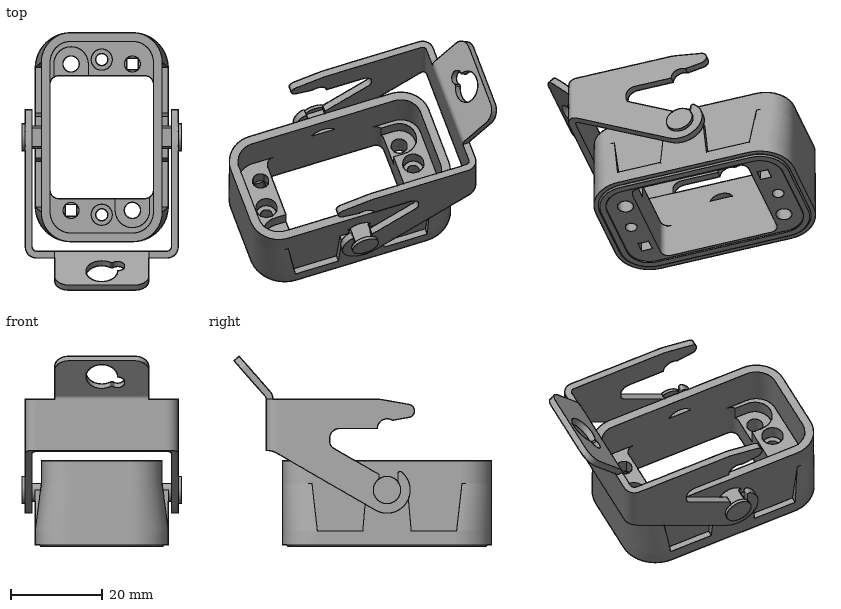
import cadquery as cq
import math

gasket_height = 0.4
gasket_inset = 0.95
gasket_chamfer = 0.35
gasket_width = 1.7

housing_length = 45.9
base_width = 29.2
upper_width = 26.5
end_flat_half = 6.7
base_top = 3.45
taper_top = 13.85
housing_top = 18.85
wall = 1.9
floor_top = 9.3
side_flat_base = 15.25
side_flat_top = 16.45

opening_length = 26.9
opening_corner = 1.85
corner_hole_x = 6.7
corner_hole_y = 16.05
corner_hole_radius = 1.75
corner_pocket_radius = 3.8
corner_pocket_depth = 3.4
square_hole_side = 2.5
square_counterbore_depth = 3.4
middle_hole_y = 17.0
middle_hole_radius = 1.3
middle_counterbore_radius = 2.3
middle_counterbore_depth = 3.4

pivot_z = 12.45
boss_base_half = 5.3
boss_top_half = 4.5
pin_radius = 2.5
pin_flat_height = 1.45
head_radius = 3.0
head_span = 35.0

sheet = 1.5
clip_half_width = 16.8
clip_back_y = -26.5
clip_top = 32.4
clip_bend_radius = 2.5
arm_angle = 30.0
hook_radius = 5.1
arm_upper_offset = 2.1
mouth_front_y = 2.45
mouth_back_y = -1.75
hook_tip_round = 0.45
throat_back_y = -12.55
throat_top = 25.9
throat_upper_round = 2.1
throat_lower_round = 1.7
notch_y = 0.05
notch_radius = 2.15
jaw_angle = 10.0
jaw_tip_y = 4.6
jaw_tip_z = 29.8
jaw_tip_radius = 1.45
jaw_top_round = 9.6

tab_half_width = 10.35
tab_angle = 41.3
tab_bend_inner = 0.95
tab_length = 10.35
tab_corner = 3.05
key_along = 5.7
key_radius = 3.45
key_small_x = 3.5
key_small_along = -1.7
key_small_radius = 1.5
key_neck_half = 1.15

base_half = base_width / 2
upper_half = upper_width / 2
base_corner = base_half - end_flat_half
upper_corner = upper_half - end_flat_half
cavity_width = upper_width - 2 * wall
cavity_length = housing_length - 2 * wall
cavity_corner = upper_corner - wall
head_outer_x = head_span / 2
clip_inner_x = clip_half_width - sheet
tab_lean = math.radians(tab_angle)


def rounded_plate(width, length, corner, bottom, top):
    plate = cq.Workplane("XY").workplane(offset=bottom).rect(width, length).extrude(top - bottom)
    return plate.edges("|Z").fillet(corner)


def round_corner(solid, y, z, radius):
    edge = cq.selectors.NearestToPointSelector((0, y, z))
    return solid.edges("|X").edges(edge).fillet(radius)


def x_prism(points, half_width):
    return cq.Workplane("YZ").polyline(points).close().extrude(half_width, both=True)


def x_cylinder(radius, start, end):
    plane = cq.Workplane("YZ", origin=(start, 0, pivot_z))
    return plane.circle(radius).extrude(end - start)


def rounded_section(width, corner, z):
    outline = cq.Sketch().rect(width, housing_length).vertices().fillet(corner)
    return outline.moved(cq.Location(cq.Vector(0, 0, z)))


def housing_shell():
    base = rounded_plate(base_width, housing_length, base_corner, gasket_height, base_top)
    taper = (
        cq.Workplane("XY")
        .placeSketch(
            rounded_section(base_width, base_corner, base_top),
            rounded_section(upper_width, upper_corner, taper_top),
        )
        .loft(ruled=True)
    )
    rim = rounded_plate(upper_width, housing_length, upper_corner, taper_top, housing_top)
    recess_outline = [
        (-side_flat_base, base_top),
        (side_flat_base, base_top),
        (side_flat_top, taper_top),
        (-side_flat_top, taper_top),
    ]
    recesses = x_prism(recess_outline, base_half).cut(
        cq.Workplane("XY").box(upper_width, housing_length, 2 * housing_top)
    )
    cavity = rounded_plate(cavity_width, cavity_length, cavity_corner, floor_top, housing_top)
    opening = rounded_plate(cavity_width, opening_length, opening_corner, 0, housing_top)
    return base.union(taper).union(rim).cut(recesses).cut(cavity).cut(opening)


def vertical_cylinder(x, y, radius, bottom, top):
    plane = cq.Workplane("XY", origin=(x, y, bottom))
    return plane.circle(radius).extrude(top - bottom)


def floor_cuts():
    """Holes at the +Y end of the floor; the other end repeats them turned by 180 degrees."""
    pocket_bottom = floor_top - corner_pocket_depth
    pocket_centre = (-corner_hole_x, corner_hole_y)
    pocket = vertical_cylinder(*pocket_centre, corner_pocket_radius, pocket_bottom, floor_top)
    pocket_mouth = (
        cq.Workplane("XY", origin=(-corner_hole_x, corner_hole_y / 2, pocket_bottom))
        .rect(2 * corner_pocket_radius, corner_hole_y)
        .extrude(corner_pocket_depth)
    )
    round_hole = vertical_cylinder(*pocket_centre, corner_hole_radius, 0, floor_top)

    middle_hole = vertical_cylinder(0, middle_hole_y, middle_hole_radius, 0, floor_top)
    middle_counterbore = vertical_cylinder(
        0, middle_hole_y, middle_counterbore_radius, floor_top - middle_counterbore_depth, floor_top
    )

    square_hole = (
        cq.Workplane("XY", origin=(corner_hole_x, corner_hole_y, 0))
        .rect(square_hole_side, square_hole_side)
        .extrude(floor_top)
    )
    square_counterbore = vertical_cylinder(
        corner_hole_x, corner_hole_y, corner_hole_radius, floor_top - square_counterbore_depth, floor_top
    )
    cuts = pocket.union(pocket_mouth).union(round_hole)
    cuts = cuts.union(middle_hole).union(middle_counterbore)
    return cuts.union(square_hole).union(square_counterbore)


def pivot_boss():
    """Tapered boss on the -X side, reaching up to the pivot axis."""
    outline = [
        (-boss_base_half, base_top),
        (boss_base_half, base_top),
        (boss_top_half, pivot_z),
        (-boss_top_half, pivot_z),
    ]
    boss_depth = base_half - upper_half
    return cq.Workplane("YZ", origin=(-base_half, 0, 0)).polyline(outline).close().extrude(boss_depth)


def above_pin_flat(start, end):
    """Block over the plane of the pin flat, between two places along X."""
    block = cq.Workplane("XY", origin=((start + end) / 2, 0, pivot_z + pin_flat_height))
    return block.rect(end - start, 2 * head_radius).extrude(head_radius)


def pivot_pin():
    """Headed pin on the -X side; its shank is flattened on top."""
    shank = x_cylinder(pin_radius, -clip_half_width, -cavity_width / 2)
    shank = shank.cut(above_pin_flat(-clip_half_width, -cavity_width / 2))
    head = x_cylinder(head_radius, -head_outer_x, -clip_half_width)
    return shank.union(head)


def pivot_window():
    """Round-topped window through the -X wall, level with the pin flat."""
    bore = x_cylinder(head_radius, -upper_half, -cavity_width / 2)
    return bore.intersect(above_pin_flat(-upper_half, -cavity_width / 2))


def make_housing():
    body = housing_shell()
    for turn in (0, 180):
        for feature in (pivot_boss(), pivot_pin()):
            body = body.union(feature.rotate((0, 0, 0), (0, 0, 1), turn))
        for cutter in (floor_cuts(), pivot_window()):
            body = body.cut(cutter.rotate((0, 0, 0), (0, 0, 1), turn))
    return body


def make_gasket():
    """Flat ring under the housing, chamfered around its lower outer edge."""
    def inset_plate(inset):
        width = base_width - 2 * inset
        length = housing_length - 2 * inset
        return rounded_plate(width, length, base_corner - inset, 0, gasket_height)

    outer = inset_plate(gasket_inset).faces("<Z").edges().chamfer(gasket_chamfer)
    return outer.cut(inset_plate(gasket_inset + gasket_width))


def clip_side_profile():
    """Side outline of the clip, swept across its full width."""
    arm = math.radians(arm_angle)
    jaw = math.radians(jaw_angle)

    hook_end_y = -hook_radius * math.sin(arm)
    hook_end_z = pivot_z - hook_radius * math.cos(arm)
    bend_start_y = clip_back_y + clip_bend_radius
    bend_start_z = hook_end_z + (hook_end_y - bend_start_y) * math.tan(arm)
    edge_arc_radius = clip_bend_radius / math.sin(arm)
    back_bottom = bend_start_z + edge_arc_radius * (1 - math.cos(arm))
    edge_arc_middle = (
        clip_back_y + edge_arc_radius * math.sin(arm / 2),
        back_bottom - edge_arc_radius * (1 - math.cos(arm / 2)),
    )

    def arm_upper_z(y):
        return pivot_z + arm_upper_offset / math.cos(arm) - y * math.tan(arm)

    hook_tip_z = pivot_z + math.sqrt(hook_radius**2 - mouth_front_y**2)
    mouth_corner_z = arm_upper_z(mouth_back_y)
    throat_bottom = arm_upper_z(throat_back_y)

    tangent_y = jaw_tip_y + jaw_tip_radius * math.sin(jaw)
    upper_tangent_z = jaw_tip_z + jaw_tip_radius * math.cos(jaw)
    lower_tangent_z = jaw_tip_z - jaw_tip_radius * math.cos(jaw)
    jaw_top_y = tangent_y - (clip_top - upper_tangent_z) / math.tan(jaw)
    notch_edge_z = lower_tangent_z - (tangent_y - notch_y) * math.tan(jaw)

    profile = (
        cq.Workplane("YZ")
        .moveTo(mouth_front_y, pivot_z)
        .lineTo(mouth_back_y, pivot_z)
        .lineTo(mouth_back_y, mouth_corner_z)
        .lineTo(throat_back_y, throat_bottom)
        .lineTo(throat_back_y, throat_top)
        .lineTo(notch_y, throat_top)
        .lineTo(notch_y, notch_edge_z)
        .lineTo(tangent_y, lower_tangent_z)
        .threePointArc((jaw_tip_y + jaw_tip_radius, jaw_tip_z), (tangent_y, upper_tangent_z))
        .lineTo(jaw_top_y, clip_top)
        .lineTo(clip_back_y, clip_top)
        .lineTo(clip_back_y, back_bottom)
        .threePointArc(edge_arc_middle, (bend_start_y, bend_start_z))
        .lineTo(hook_end_y, hook_end_z)
        .threePointArc((hook_radius, pivot_z), (mouth_front_y, hook_tip_z))
        .close()
        .extrude(clip_half_width, both=True)
    )
    profile = round_corner(profile, mouth_front_y, hook_tip_z, hook_tip_round)
    profile = round_corner(profile, throat_back_y, throat_bottom, throat_lower_round)
    profile = round_corner(profile, throat_back_y, throat_top, throat_upper_round)
    profile = round_corner(profile, jaw_top_y, clip_top, jaw_top_round)
    notch = cq.Workplane("YZ", origin=(0, notch_y, throat_top)).circle(notch_radius)
    return profile.cut(notch.extrude(clip_half_width, both=True))


def clip_strap():
    """Bent strap with a U-shaped plan, as tall as the whole clip."""
    front_y = jaw_tip_y + jaw_tip_radius
    depth = front_y - clip_back_y
    outer = (
        cq.Workplane("XY", origin=(0, front_y - depth / 2, 0))
        .rect(2 * clip_half_width, depth)
        .extrude(clip_top)
        .edges("|Z and <Y")
        .fillet(clip_bend_radius)
    )
    inner = (
        cq.Workplane("XY", origin=(0, front_y - depth / 2 + sheet, 0))
        .rect(2 * clip_inner_x, depth)
        .extrude(clip_top)
        .edges("|Z and <Y")
        .fillet(clip_bend_radius - sheet)
    )
    return outer.cut(inner)


def clip_tab():
    """Handle tab that bends outwards from the upper edge of the back."""
    bend_y = clip_back_y - tab_bend_inner
    bend_outer = tab_bend_inner + sheet

    def bend_point(radius, angle):
        return (bend_y + radius * math.cos(angle), clip_top + radius * math.sin(angle))

    def tab_end(radius):
        y, z = bend_point(radius, tab_lean)
        return (y - tab_length * math.sin(tab_lean), z + tab_length * math.cos(tab_lean))

    tab = (
        cq.Workplane("YZ")
        .moveTo(*bend_point(tab_bend_inner, 0))
        .threePointArc(bend_point(tab_bend_inner, tab_lean / 2), bend_point(tab_bend_inner, tab_lean))
        .lineTo(*tab_end(tab_bend_inner))
        .lineTo(*tab_end(bend_outer))
        .lineTo(*bend_point(bend_outer, tab_lean))
        .threePointArc(bend_point(bend_outer, tab_lean / 2), bend_point(bend_outer, 0))
        .close()
        .extrude(tab_half_width, both=True)
    )

    flat_start_y, flat_start_z = bend_point(tab_bend_inner, tab_lean)
    flat_plane = cq.Plane(
        origin=(0, flat_start_y, flat_start_z),
        xDir=(1, 0, 0),
        normal=(0, -math.cos(tab_lean), -math.sin(tab_lean)),
    )
    across_sheet = cq.selectors.ParallelDirSelector(flat_plane.zDir)
    tab = tab.edges(across_sheet).edges(">Z").fillet(tab_corner)
    return tab.cut(keyhole(cq.Workplane(flat_plane)))


def keyhole(flat):
    """Large hole with a small round end beside it, joined by a short neck."""
    small_along = key_along + key_small_along
    large_hole = flat.center(0, key_along).circle(key_radius).extrude(-sheet)
    small_hole = flat.center(key_small_x, small_along).circle(key_small_radius).extrude(-sheet)
    neck = flat.center(key_small_x / 2, small_along).rect(key_small_x, 2 * key_neck_half).extrude(-sheet)
    return large_hole.union(small_hole).union(neck)


def make_clip():
    clip = clip_strap().intersect(clip_side_profile())
    for side in (-1, 1):
        clip = clip.cut(x_cylinder(pin_radius, side * clip_inner_x, side * clip_half_width))
    return clip.union(clip_tab())


housing = make_housing()
gasket = make_gasket()
clip = make_clip()
result = cq.Compound.makeCompound([housing.val(), gasket.val(), clip.val()])